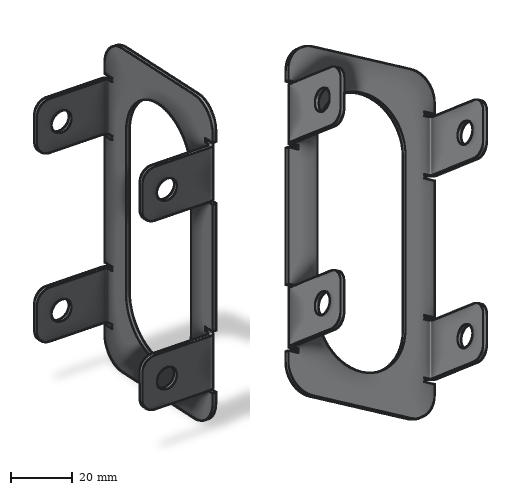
import cadquery as cq

width = 60.0
depth = 30.0
height = 120.0
thickness = 1.5
plate_corner_radius = 10.0

window_width = 36.0
window_height = 96.0

tab_height = 20.0
tab_spacing = 70.0
tab_corner_radius = 5.0
bend_inner_radius = 1.0
bend_outer_radius = bend_inner_radius + thickness
hole_diameter = 8.0
hole_setback = 10.0

relief_gap = 1.5
relief_depth = 4.2

back_y = depth / 2
front_y = -depth / 2
edge_x = width / 2
tab_levels = (-tab_spacing / 2, tab_spacing / 2)


def make_plate():
    """Flat rounded plate with its window and notches that leave room for the tabs."""
    plate = (
        cq.Workplane("XZ", origin=(0, back_y, 0))
        .rect(width, height)
        .extrude(thickness)
        .edges("|Y")
        .fillet(plate_corner_radius)
    )
    window = (
        cq.Workplane("XZ", origin=(0, back_y, 0))
        .slot2D(window_height, window_width, 90)
        .extrude(thickness)
    )
    notches = (
        cq.Workplane("XZ", origin=(0, back_y, 0))
        .pushPoints([(x, z) for x in (-edge_x, edge_x) for z in tab_levels])
        .rect(2 * relief_depth, tab_height + 2 * relief_gap)
        .extrude(thickness)
    )
    return plate.cut(window).cut(notches)


def make_left_tab(level):
    """Tab on the -X edge: a strip of sheet bent toward -Y, rounded and drilled."""
    root_x = -edge_x + relief_depth
    tab = (
        cq.Workplane("XY", origin=(0, 0, level))
        .moveTo(root_x, back_y)
        .lineTo(-edge_x + bend_outer_radius, back_y)
        .radiusArc((-edge_x, back_y - bend_outer_radius), -bend_outer_radius)
        .lineTo(-edge_x, front_y)
        .lineTo(-edge_x + thickness, front_y)
        .lineTo(-edge_x + thickness, back_y - bend_outer_radius)
        .radiusArc((-edge_x + bend_outer_radius, back_y - thickness), bend_inner_radius)
        .lineTo(root_x, back_y - thickness)
        .close()
        .extrude(tab_height / 2, both=True)
        .faces("<Y")
        .edges("|X")
        .fillet(tab_corner_radius)
    )
    hole = (
        cq.Workplane("YZ", origin=(-edge_x, front_y + hole_setback, level))
        .circle(hole_diameter / 2)
        .extrude(thickness)
    )
    return tab.cut(hole)


result = make_plate()
for tab_level in tab_levels:
    left_tab = make_left_tab(tab_level)
    result = result.union(left_tab).union(left_tab.mirror("YZ"))